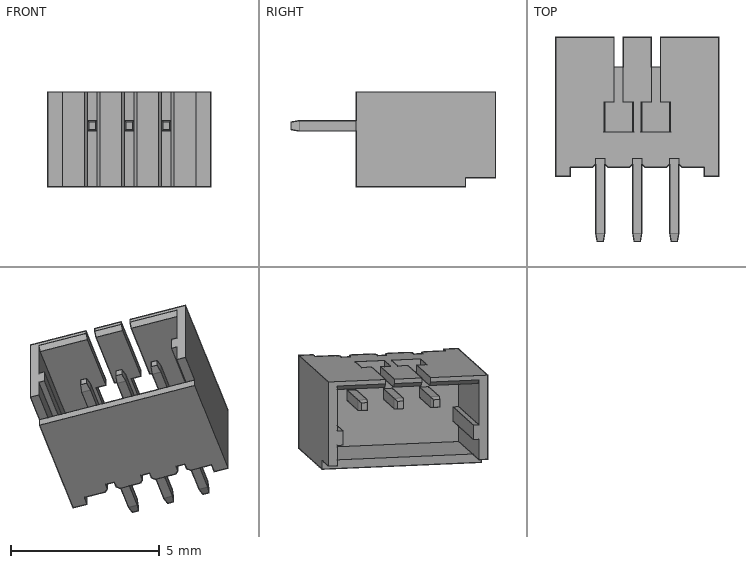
import cadquery as cq

body_width = 5.5
body_length = 4.7
body_height = 3.2
overall_length = 6.9

roof_thickness = 0.305
floor_thickness = 0.305
side_wall = 0.305
rib_width = 0.19
rib_top = 1.505
rib_height = 0.5
cavity_depth = 3.2
lip_chamfer = 0.15
floor_setback = 1.01

pitch = 1.25
pin_count = 3
pin_width = 0.31
pin_height = 0.36
pin_z = 2.055
pin_taper_length = 0.28
pin_taper_inset = 0.05
pin_front_y = -1.2

slot_width = 0.305
window_width = 1.01
window_start = 2.195

foot_width = 0.5
foot_length = 0.305
groove_depth = 0.305
groove_chamfer = 0.105

rear_y = -body_length
recess_y = rear_y + foot_length
pin_xs = [(i - (pin_count - 1) / 2) * pitch for i in range(pin_count)]
gap_xs = [(left + right) / 2 for left, right in zip(pin_xs, pin_xs[1:])]


def block(x_range, y_range, z_range):
    """Axis-aligned box between the given limits."""
    lows, highs = zip(x_range, y_range, z_range)
    sizes = [high - low for low, high in zip(lows, highs)]
    return cq.Workplane("XY").box(*sizes, centered=False).translate(lows)


def centred(middle, width):
    """Limits of a feature centred on a coordinate."""
    return (middle - width / 2, middle + width / 2)


def housing_shell():
    """Block with the floor end set back from the mating face."""
    shell = block(centred(0, body_width), (rear_y, 0), (0, body_height))
    return shell.cut(block(centred(0, body_width), (-floor_setback, 0), (0, floor_thickness)))


def mating_cavity():
    """Pocket open at the mating face, with a flared lip under the roof."""
    roof_z = body_height - roof_thickness
    profile = [
        (-cavity_depth, floor_thickness),
        (0, floor_thickness),
        (0, roof_z + lip_chamfer),
        (-lip_chamfer, roof_z),
        (-cavity_depth, roof_z),
    ]
    width = body_width - 2 * side_wall
    return cq.Workplane("YZ").polyline(profile).close().extrude(width / 2, both=True)


def side_rib(side):
    """Guide rib along a side wall of the cavity; side is -1 or +1."""
    centre_x = side * (body_width / 2 - side_wall - rib_width / 2)
    return block(centred(centre_x, rib_width), (-cavity_depth, 0), (rib_top - rib_height, rib_top))


def roof_opening(x):
    """Slot from the mating face that ends in a wider window."""
    z_range = (body_height - roof_thickness, body_height)
    slot = block(centred(x, slot_width), (-window_start, 0), z_range)
    window = block(centred(x, window_width), (-cavity_depth, -window_start), z_range)
    return slot.union(window)


def rear_recess():
    """Space between the two feet, over the full height."""
    width = body_width - 2 * foot_width
    return block(centred(0, width), (rear_y, recess_y), (0, body_height))


def pin_groove(x):
    """Full-height groove around a pin, chamfered at its mouth."""
    half = pin_width / 2
    mouth = half + groove_chamfer
    profile = [
        (x - mouth, recess_y),
        (x - half, recess_y + groove_chamfer),
        (x - half, recess_y + groove_depth),
        (x + half, recess_y + groove_depth),
        (x + half, recess_y + groove_chamfer),
        (x + mouth, recess_y),
    ]
    return cq.Workplane("XY").polyline(profile).close().extrude(body_height)


def pin_taper(x, base_y, direction):
    """Tapered pin end that narrows along Y; direction is -1 or +1."""
    return (
        cq.Workplane("XZ", origin=(x, base_y, pin_z))
        .rect(pin_width, pin_height)
        .workplane(offset=-direction * pin_taper_length)
        .rect(pin_width - 2 * pin_taper_inset, pin_height - 2 * pin_taper_inset)
        .loft()
    )


def pin(x):
    """Rectangular contact tapered at both ends."""
    rear_taper_y = pin_taper_length - overall_length
    front_taper_y = pin_front_y - pin_taper_length
    shank = block(centred(x, pin_width), (rear_taper_y, front_taper_y), centred(pin_z, pin_height))
    return shank.union(pin_taper(x, rear_taper_y, -1)).union(pin_taper(x, front_taper_y, 1))


result = housing_shell().cut(mating_cavity()).cut(rear_recess())
for side in (-1, 1):
    result = result.union(side_rib(side))
for gap_x in gap_xs:
    result = result.cut(roof_opening(gap_x))
for pin_x in pin_xs:
    result = result.cut(pin_groove(pin_x))
for pin_x in pin_xs:
    result = result.union(pin(pin_x))